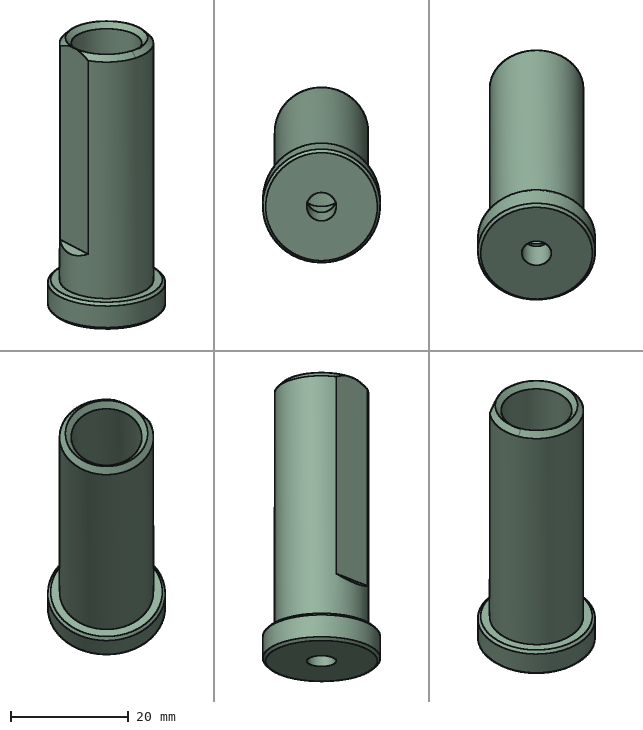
import cadquery as cq
import math

total_height = 50.0
head_diameter = 20.0
head_height = 5.0
head_chamfer = 0.5
shank_diameter = 16.0
shank_top_chamfer = 1.0

mouth_chamfer = 1.0
upper_bore_diameter = 12.0
lower_bore_diameter = 10.04
through_hole_diameter = 5.0
step_cone_top = 20.0
seat_cone_top = 10.0
step_cone_half_angle = 45.0
seat_cone_half_angle = 30.0

flat_depth = 1.0
flat_bottom = 13.0
flat_runout_height = 1.0

shank_radius = shank_diameter / 2


def cone_height(large_diameter, small_diameter, half_angle):
    """Axial length of a bore cone between two diameters."""
    radius_change = (large_diameter - small_diameter) / 2
    return radius_change / math.tan(math.radians(half_angle))


def make_body():
    """Solid headed pin with chamfered head rims and shank end."""
    head = (
        cq.Workplane("XY")
        .circle(head_diameter / 2)
        .extrude(head_height)
        .edges()
        .chamfer(head_chamfer)
    )
    shank = (
        cq.Workplane("XY")
        .circle(shank_radius)
        .extrude(total_height)
        .faces(">Z")
        .edges()
        .chamfer(shank_top_chamfer)
    )
    return head.union(shank)


def make_bore():
    """Revolved tool for the mouth chamfer, both bores, both cones and the through hole."""
    upper_radius = upper_bore_diameter / 2
    lower_radius = lower_bore_diameter / 2
    hole_radius = through_hole_diameter / 2
    step_height = cone_height(upper_bore_diameter, lower_bore_diameter, step_cone_half_angle)
    seat_height = cone_height(lower_bore_diameter, through_hole_diameter, seat_cone_half_angle)
    half_profile = [
        (0, 0),
        (hole_radius, 0),
        (hole_radius, seat_cone_top - seat_height),
        (lower_radius, seat_cone_top),
        (lower_radius, step_cone_top - step_height),
        (upper_radius, step_cone_top),
        (upper_radius, total_height - mouth_chamfer),
        (upper_radius + mouth_chamfer, total_height),
        (0, total_height),
    ]
    return cq.Workplane("XZ").polyline(half_profile).close().revolve(360, (0, 0, 0), (0, 1, 0))


def make_flat_cutter():
    """Prism that mills the flat, ending in a sloped run-out at its lower end."""
    side_profile = [
        (-shank_radius, flat_bottom - flat_runout_height),
        (-shank_radius + flat_depth, flat_bottom),
        (-shank_radius + flat_depth, total_height),
        (-shank_radius, total_height),
    ]
    return cq.Workplane("YZ").polyline(side_profile).close().extrude(shank_radius, both=True)


result = make_body().cut(make_flat_cutter()).cut(make_bore())